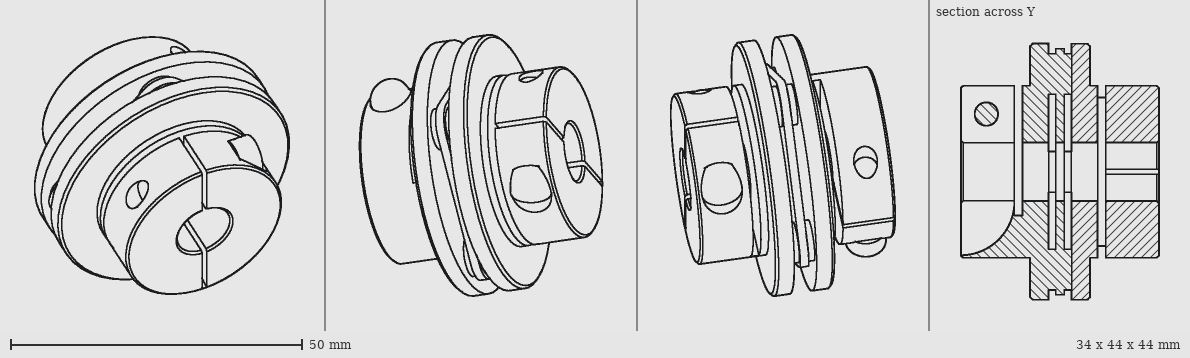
import cadquery as cq
import math


overall_length = 34.0
flange_diameter = 44.0
hub_diameter = 29.55
bore_diameter = 10.0
hub_radius = hub_diameter / 2
bore_radius = bore_diameter / 2
end_x = -overall_length / 2

flange_thickness = 3.2
flange_gap = 3.85
flange_chamfer = 0.5
hub_chamfer = 0.4
bore_chamfer = 0.4
flange_inner_x = -flange_gap / 2
flange_outer_x = flange_inner_x - flange_thickness

cross_slot_width = 1.35
cross_slot_floor_y = -7.5
collar_length = 1.3
cross_slot_x = flange_outer_x - collar_length - cross_slot_width
clamp_length = cross_slot_x - end_x

slit_width = 0.92
slit_end_y = -14.3

disc_thickness = 1.5
boss_count = 4
boss_circle_radius = 16.75
boss_radius = 3.5
lobe_radius = 4.35

screw_x = -12.65
screw_y = 9.9
screw_radius = 2.02
screw_tip_z = 9.8
screw_tip_fillet = 0.55
head_radius = 3.5
head_height = 4.0
head_seat_z = -7.65
head_fillet = 0.5

clearance = flange_diameter


def cylinder_x(radius, start, end):
    """Cylinder on the shaft axis from X = start to X = end."""
    return cq.Workplane("YZ", origin=(start, 0, 0)).circle(radius).extrude(end - start)


def cylinder_z(radius, start, end):
    """Cylinder on the screw axis from Z = start to Z = end."""
    return cq.Workplane("XY", origin=(screw_x, screw_y, start)).circle(radius).extrude(end - start)


def cross_slot():
    """Slot across the hub, open towards +Y."""
    return cq.Workplane("XY").box(
        cross_slot_width, clearance, clearance, centered=(False, False, True)
    ).translate((cross_slot_x, cross_slot_floor_y, 0))


def lengthwise_slit():
    """Slit in the XY plane: open at +Y, ending in a quarter-round floor that just reaches the cross slot."""
    arc_center_y = slit_end_y + clamp_length
    open_part = cq.Workplane("XY").box(
        clamp_length, clearance, slit_width, centered=(False, False, True)
    ).translate((end_x, arc_center_y, 0))
    round_part = (
        cq.Workplane("XY", origin=(end_x, arc_center_y, -slit_width / 2))
        .circle(clamp_length)
        .extrude(slit_width)
    )
    return open_part.union(round_part)


def screw_hole():
    """Screw hole through the clamp ring with a counterbore open towards -Z."""
    hole = cylinder_z(screw_radius, head_seat_z, clearance)
    counterbore = cylinder_z(head_radius, -clearance, head_seat_z)
    return hole.union(counterbore)


def make_hub():
    """Left hub: flange and bored clamp ring."""
    flange = cylinder_x(flange_diameter / 2, flange_outer_x, flange_inner_x)
    flange = flange.faces("<X").edges().chamfer(flange_chamfer)
    barrel = cylinder_x(hub_radius, end_x, flange_inner_x)
    barrel = barrel.faces("<X").edges().chamfer(hub_chamfer)
    bore = cylinder_x(bore_radius, end_x, flange_inner_x)
    hub = flange.union(barrel).cut(bore)
    hub = hub.faces("<X").edges("%CIRCLE").edges(cq.selectors.RadiusNthSelector(0)).chamfer(bore_chamfer)
    return hub.cut(cross_slot()).cut(lengthwise_slit()).cut(screw_hole())


def make_screw():
    """Left clamp screw: round-edged cap head at -Z, rounded tip at +Z."""
    head = cylinder_z(head_radius, head_seat_z - head_height, head_seat_z)
    head = head.faces("<Z").edges().fillet(head_fillet)
    shank = cylinder_z(screw_radius, head_seat_z, screw_tip_z)
    shank = shank.faces(">Z").edges().fillet(screw_tip_fillet)
    return head.union(shank)


def make_spacer():
    """Square disc with rounded corners on the Y and Z axes and a boss on both sides of each corner."""
    square_side = 2 * (boss_circle_radius * math.sqrt(0.5) + lobe_radius)
    disc = (
        cq.Workplane("YZ")
        .rect(square_side, square_side)
        .extrude(disc_thickness / 2, both=True)
        .edges("|X")
        .fillet(lobe_radius)
        .rotate((0, 0, 0), (1, 0, 0), 45)
    )
    bosses = (
        cq.Workplane("YZ", origin=(-flange_gap / 2, 0, 0))
        .polarArray(boss_circle_radius, 0, 360, boss_count)
        .circle(boss_radius)
        .extrude(flange_gap)
    )
    bore = cylinder_x(bore_radius, -disc_thickness / 2, disc_thickness / 2)
    return disc.cut(bore).union(bosses)


def to_right_side(body):
    """Mirror a left-hand body across the disc and turn it a quarter turn about the shaft axis."""
    return body.mirror("YZ").rotate((0, 0, 0), (1, 0, 0), 90)


left_hub = make_hub()
right_hub = to_right_side(left_hub).union(make_spacer())
left_screw = make_screw()
right_screw = to_right_side(left_screw)

bodies = [left_hub, right_hub, left_screw, right_screw]
result = cq.Compound.makeCompound([body.solids().val() for body in bodies])